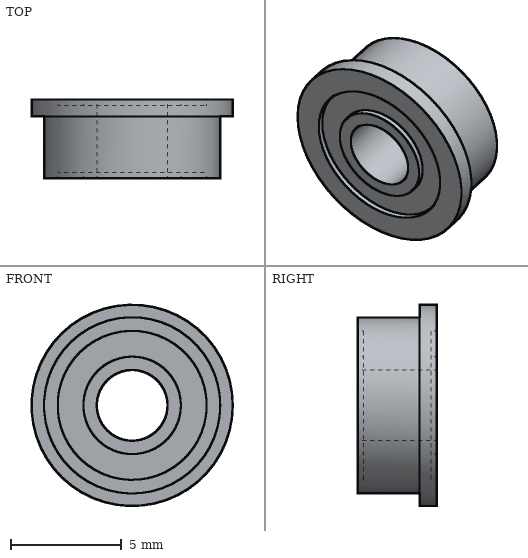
import cadquery as cq

flange_diameter = 9.07
body_diameter = 7.94
bore_diameter = 3.17
width = 3.56
flange_width = 0.77

recess_outer_diameter = 6.71
recess_inner_diameter = 4.39
recess_depth = 0.27


def disc(diameter, start_y, length):
    """Solid cylinder running from start_y toward +Y."""
    plane = cq.Workplane("XZ", origin=(0, start_y, 0))
    return plane.circle(diameter / 2).extrude(-length)


def recess(start_y):
    """Annular cutter for one shielded face."""
    outer = disc(recess_outer_diameter, start_y, recess_depth)
    return outer.cut(disc(recess_inner_diameter, start_y, recess_depth))


body = disc(body_diameter, 0, width)
flange = disc(flange_diameter, width - flange_width, flange_width)
result = body.union(flange).cut(disc(bore_diameter, 0, width))

for recess_start in (0, width - recess_depth):
    result = result.cut(recess(recess_start))